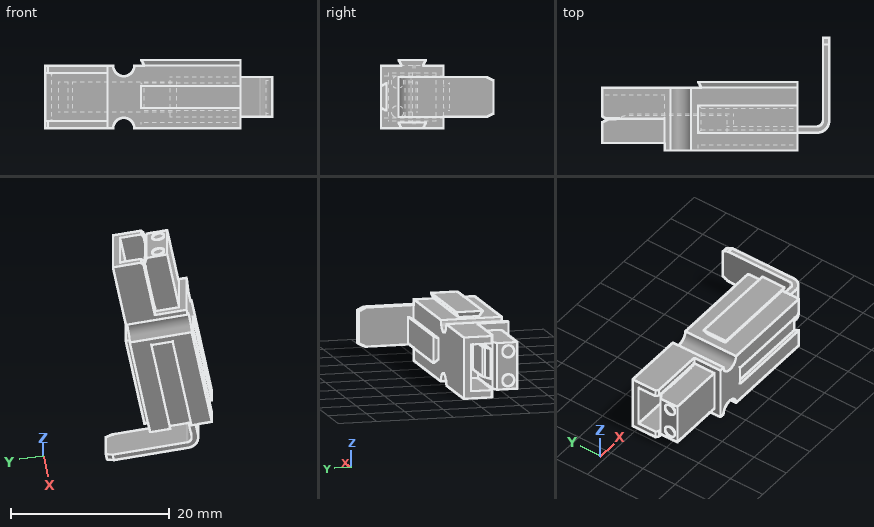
import cadquery as cq

total_length = 28.6
total_depth = 14.2
housing_length = 24.6
housing_depth = 7.92
housing_height = 7.9
mid_y = housing_depth / 2
mid_z = housing_height / 2

mating_length = 7.86
wall = 0.95
cavity_height = housing_height - 2 * wall
shell_edge_y = 4.05
shell_chamfer_x = 0.37
shell_chamfer_y = 0.25
tongue_top_y = 3.98
tongue_chamfer_x = 0.8
tongue_chamfer_y = 0.4
dimple_radius = 0.77
dimple_depth = 0.1
dimple_y = 2.12
dimple_spacing = 3.72

cross_groove_x = 9.9
cross_groove_radius = 1.32

dovetail_start = 12.1
dovetail_height = 0.72
dovetail_base = 2.72
dovetail_flare = 0.37
dovetail_length = housing_length - dovetail_start

sheet = 0.83
tab_width = 5.03
tab_y = 2.23
bend_radius = 1.57
tab_chamfer_y = 0.9
tab_chamfer_z = 0.43
tab_inner_x = 15.73
blade_width = 3.83
blade_tip_x = 2.85
tip_slope_length = 0.57

spring_thickness = 0.43
spring_start_x = 1.72
spring_slope_length = 1.15
blade_y = tongue_top_y + spring_thickness
blade_thickness = 0.2


def box(x0, x1, y0, y1, z0, z1):
    """Box given by its limits along each axis."""
    return cq.Workplane("XY").box(x1 - x0, y1 - y0, z1 - z0, centered=False).translate((x0, y0, z0))


def plate(points, width):
    """Outline in XY, extruded to a width centred on mid height."""
    return cq.Workplane("XY").polyline(points).close().extrude(width / 2, both=True).translate((0, 0, mid_z))


def dovetail():
    """Flared bar along X; its base is centred on the X axis and it rises along Z."""
    half_base = dovetail_base / 2
    half_top = half_base + dovetail_flare
    return (
        cq.Workplane("YZ", origin=(dovetail_start, 0, 0))
        .polyline([
            (-half_base, 0),
            (half_base, 0),
            (half_top, dovetail_height),
            (-half_top, dovetail_height),
        ])
        .close()
        .extrude(dovetail_length)
    )


def dovetail_rib():
    """Dovetail bar whose front end is undercut like its sides."""
    undercut = (
        cq.Workplane("XZ", origin=(dovetail_start, 0, 0))
        .polyline([(0, 0), (dovetail_flare, 0), (0, dovetail_height)])
        .close()
        .extrude(dovetail_base, both=True)
    )
    return dovetail().cut(undercut)


def turned_to_y(bar):
    """Turn a bar that rises along Z so that it rises along +Y."""
    return bar.rotate((0, 0, 0), (1, 0, 0), -90)


def make_tongue():
    tongue = plate(
        [
            (0, wall),
            (mating_length, wall),
            (mating_length, tongue_top_y),
            (tongue_chamfer_x, tongue_top_y),
            (0, tongue_top_y - tongue_chamfer_y),
        ],
        cavity_height,
    )
    for side in (-1, 1):
        dimple = (
            cq.Workplane("YZ")
            .center(dimple_y, mid_z + side * dimple_spacing / 2)
            .circle(dimple_radius)
            .extrude(dimple_depth)
        )
        tongue = tongue.cut(dimple)
    return tongue


def make_housing(contact, spring):
    body = box(mating_length, housing_length, 0, housing_depth, 0, housing_height)
    shell = plate(
        [
            (0, housing_depth),
            (mating_length, housing_depth),
            (mating_length, shell_edge_y),
            (shell_chamfer_x, shell_edge_y),
            (0, shell_edge_y + shell_chamfer_y),
        ],
        housing_height,
    )
    cavity = box(0, mating_length, 0, housing_depth - wall, wall, housing_height - wall)
    housing = body.union(shell.cut(cavity)).union(make_tongue())

    for z in (0, housing_height):
        cross_groove = (
            cq.Workplane("XZ")
            .center(cross_groove_x, z)
            .circle(cross_groove_radius)
            .extrude(-housing_depth)
        )
        housing = housing.cut(cross_groove)

    rib = dovetail_rib()
    groove = dovetail()
    housing = housing.union(rib.translate((0, mid_y, housing_height)))
    housing = housing.union(turned_to_y(rib).translate((0, housing_depth, mid_z)))
    housing = housing.cut(groove.translate((0, mid_y, 0)))
    housing = housing.cut(turned_to_y(groove).translate((0, 0, mid_z)))
    return housing.cut(contact).cut(spring)


def make_contact():
    tab = plate(
        [
            (tab_inner_x, tab_y),
            (total_length, tab_y),
            (total_length, total_depth),
            (total_length - sheet, total_depth),
            (total_length - sheet, tab_y + sheet),
            (tab_inner_x, tab_y + sheet),
        ],
        tab_width,
    )
    tab = tab.edges(cq.selectors.NearestToPointSelector((total_length, tab_y, mid_z))).fillet(bend_radius)
    inner_corner = (total_length - sheet, tab_y + sheet, mid_z)
    tab = tab.edges(cq.selectors.NearestToPointSelector(inner_corner)).fillet(bend_radius - sheet)

    for side in (-1, 1):
        corner_z = mid_z + side * tab_width / 2
        bevel = (
            cq.Workplane("YZ")
            .polyline([
                (total_depth, corner_z),
                (total_depth - tab_chamfer_y, corner_z),
                (total_depth, corner_z - side * tab_chamfer_z),
            ])
            .close()
            .extrude(total_length)
        )
        tab = tab.cut(bevel)

    blade_top_y = blade_y + blade_thickness
    blade = plate(
        [
            (blade_tip_x, blade_y),
            (tab_inner_x, blade_y),
            (tab_inner_x, tab_y),
            (tab_inner_x + sheet, tab_y),
            (tab_inner_x + sheet, blade_top_y),
            (blade_tip_x + tip_slope_length, blade_top_y),
        ],
        blade_width,
    )
    return tab.union(blade)


def make_spring():
    return plate(
        [
            (spring_start_x, tongue_top_y),
            (mating_length, tongue_top_y),
            (mating_length, blade_y),
            (spring_start_x + spring_slope_length, blade_y),
        ],
        blade_width,
    )


contact = make_contact()
spring = make_spring()
housing = make_housing(contact, spring)

result = cq.Compound.makeCompound([housing.val(), contact.val(), spring.val()])